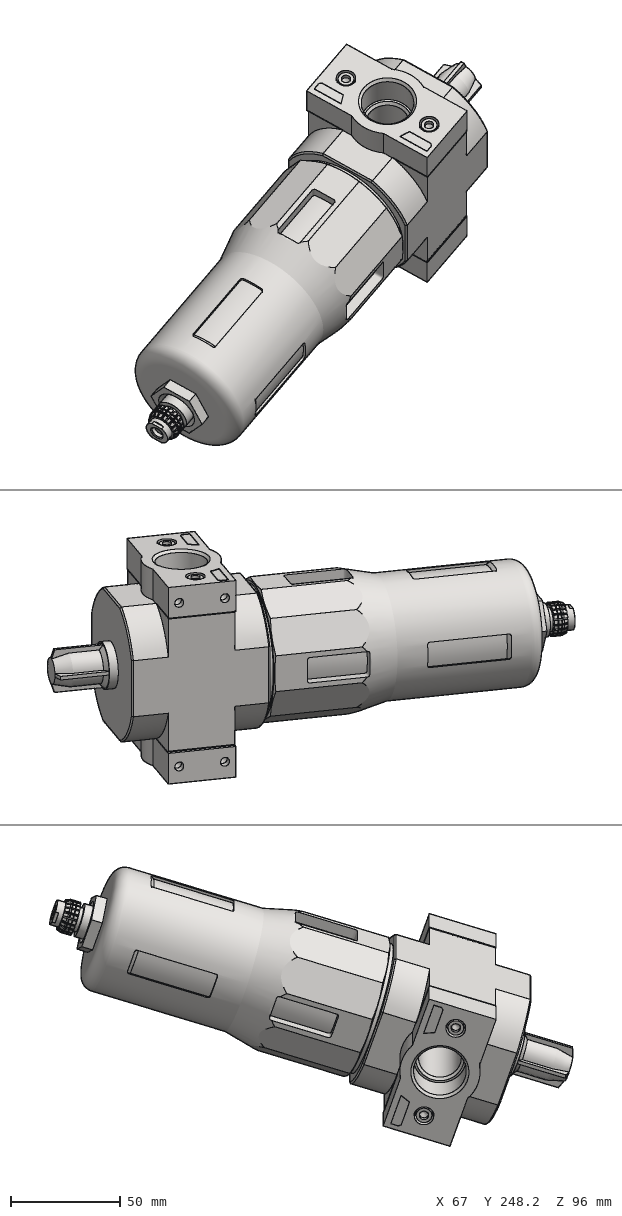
import cadquery as cq
import math


BODY_HALF = 33.0
BODY_CORNER_R = 35.7
BODY_TOP_Y = 33.3
BODY_BOTTOM_Y = -32.8
BODY_CHAMFER = 0.7
BLOCK_HALF = 16.0
BLOCK_CHAMFER = 0.7
PORT_DIA = 19.5
PORT_CHAMFER = 1.2

PLATE_WIDTH = 67.0
PLATE_HALF = 16.1
PLATE_SPAN_Z = 96.0
PLATE_OUTER_Z = PLATE_SPAN_Z / 2
PLATE_CENTRE_X = -0.37
PLATE_BOSS_DIA = 36.7
PLATE_BORE_DIA = 24.0
PLATE_BORE_CHAMFER = 1.2

SIDE_HOLE_DIA = 4.2
SIDE_HOLE_DEPTH = 3.7
SIDE_HOLE_Y = 11.0
SIDE_HOLE_Z = 40.0
DRILL_TIP_ANGLE = 120.0

LABEL_INNER_X = 16.5
LABEL_OUTER_X = 31.3
LABEL_SLANT = 2.0
LABEL_CORNER = 1.0
LABEL_TOP_Y = -8.5
LABEL_BOTTOM_Y = -13.2
LABEL_DEPTH = 0.2

SCREW_X = 23.0
SCREW_HEAD_DIA = 7.2
SCREW_HEAD_HEIGHT = 5.0
SCREW_RECESS_DIA = 9.0
SCREW_HEAD_SINK = 0.5
SCREW_SHANK_DIA = 5.0
SCREW_REACH = 10.0
SOCKET_DIA = 4.2
SOCKET_DEPTH = 2.0

KNOB_COLLAR_DIA = 22.0
KNOB_COLLAR_Y = 37.5
KNOB_CORE_DIA = 16.5
KNOB_FLARE_Y = 39.5
KNOB_SHOULDER_Y = 53.9
KNOB_TIP_DIA = 12.5
KNOB_END_Y = 62.0
RIB_COUNT = 4
RIB_RADIUS = 10.5
RIB_WIDTH = 1.7
RIB_TOP_DROP = 1.5

NECK_DIA = 62.0
GUARD_SIDES = 12
GUARD_FLATS = 65.3
GUARD_TOP_Y = -34.8
GUARD_TOP_DIA = 64.5
GUARD_BEVEL = 1.5
GUARD_TAPER_R = 35.2
GUARD_TAPER_Y = -70.7
GUARD_TAPER_MID_Y = -85.1
GUARD_TAPER_MID_R = 31.8
GUARD_DIA = 59.0
GUARD_ROUND_Y = -94.5
GUARD_END_Y = -165.0
GUARD_FILLET = 6.2
WINDOW_WIDTH = 12.5
WINDOW_CORNER = 1.2
WINDOW_FLOOR_DIA = 56.5
UPPER_WINDOW_Y = (-80.5, -50.6)
LOWER_WINDOW_Y = (-149.0, -109.0)
LOWER_WINDOW_RAMP = 1.7
WINDOW_COUNT = 4

HEX_FLATS = 24.5
HEX_END_Y = -170.3
HEX_RECESS_DIA = 19.9
HEX_RECESS_DEPTH = 2.0
STEM_DIA = 16.0
STEM_END_Y = -173.8
DRAIN_NECK_DIA = 11.5
KNURL_START_Y = -175.7
KNURL_TAPER_Y = -180.5
KNURL_END_Y = -182.5
KNURL_END_DIA = 14.5
KNURL_GROOVES = 20
KNURL_GROOVE_WIDTH = 0.7
KNURL_GROOVE_DEPTH = 1.2
KNURL_RING_Y = (-177.7, -179.5)
KNURL_RING_WIDTH = 0.2
KNURL_RING_DEPTH = 0.5
TAIL_DIA = 12.0
TAIL_FLATS = 10.7
TAIL_FLATS_Y = -184.7
DRAIN_END_Y = -186.2
DRAIN_HOLE_DIA = 6.0
DRAIN_HOLE_DEPTH = 2.5
DRAIN_HOLE_CHAMFER = 0.5


def turned(points):
    """Solid of revolution about Y from (radius, y) points."""
    return cq.Workplane("XY").polyline(points).close().revolve(360, (0, 0, 0), (0, 1, 0))


def rod(dia, y_low, y_high):
    """Round bar along Y."""
    return cq.Workplane("XZ", origin=(0, y_high, 0)).circle(dia / 2).extrude(y_high - y_low)


def upright(dia, x, z_low, z_high):
    """Round bar along Z at y = 0."""
    return cq.Workplane("XY", origin=(x, 0, z_low)).circle(dia / 2).extrude(z_high - z_low)


def drill(dia, depth, point, direction):
    """Blind drilled hole with a conical tip, to be cut from a part."""
    radius = dia / 2
    tip = radius / math.tan(math.radians(DRILL_TIP_ANGLE / 2))
    start = cq.Vector(*point)
    axis = cq.Vector(*direction)
    straight = cq.Solid.makeCylinder(radius, depth, start, axis)
    cone = cq.Solid.makeCone(radius, 0, tip, start + axis * depth, axis)
    return cq.Workplane(obj=straight.fuse(cone))


def mirrored_below(part):
    return part.mirror("XY")


def make_body(screws):
    width = 2 * BODY_HALF
    round_part = rod(2 * BODY_CORNER_R, BODY_BOTTOM_Y, BODY_TOP_Y)
    flats = cq.Workplane("XY").box(width, 4 * BODY_HALF, width)
    body = round_part.intersect(flats).faces("<Y or >Y").chamfer(BODY_CHAMFER)
    block = cq.Workplane("XY").box(width, 2 * BLOCK_HALF, width).edges("|Y").chamfer(BLOCK_CHAMFER)
    body = body.union(block).cut(upright(PORT_DIA, 0, -BODY_HALF, BODY_HALF))
    body = body.faces("<Z or >Z").edges("%CIRCLE").chamfer(PORT_CHAMFER)
    for screw in screws:
        body = body.cut(screw)
    return body


def label_recess(side):
    inner = PLATE_CENTRE_X + side * LABEL_INNER_X
    outer = PLATE_CENTRE_X + side * LABEL_OUTER_X
    outline = [
        (inner, LABEL_BOTTOM_Y),
        (outer, LABEL_BOTTOM_Y),
        (outer, LABEL_TOP_Y - LABEL_CORNER),
        (outer - side * LABEL_CORNER, LABEL_TOP_Y),
        (inner + side * LABEL_SLANT, LABEL_TOP_Y),
    ]
    floor = cq.Workplane("XY", origin=(0, 0, PLATE_OUTER_Z - LABEL_DEPTH))
    return floor.polyline(outline).close().extrude(LABEL_DEPTH)


def make_plate():
    """Plate on the +Z side."""
    thickness = PLATE_OUTER_Z - BODY_HALF
    base = cq.Workplane("XY", origin=(0, 0, BODY_HALF))
    plate = base.center(PLATE_CENTRE_X, 0).rect(PLATE_WIDTH, 2 * PLATE_HALF).extrude(thickness)
    plate = plate.union(upright(PLATE_BOSS_DIA, 0, BODY_HALF, PLATE_OUTER_Z))
    plate = plate.cut(upright(PLATE_BORE_DIA, 0, BODY_HALF, PLATE_OUTER_Z))
    rim = cq.selectors.RadiusNthSelector(0)
    plate = plate.faces(">Z").edges(rim).chamfer(PLATE_BORE_CHAMFER)
    head_seat_z = PLATE_OUTER_Z - SCREW_HEAD_SINK - SCREW_HEAD_HEIGHT
    for side in (-1, 1):
        x = side * SCREW_X
        plate = plate.cut(upright(SCREW_SHANK_DIA, x, BODY_HALF, PLATE_OUTER_Z))
        plate = plate.cut(upright(SCREW_RECESS_DIA, x, head_seat_z, PLATE_OUTER_Z))
        plate = plate.cut(label_recess(side))
        hole_start = (PLATE_CENTRE_X - PLATE_WIDTH / 2, side * SIDE_HOLE_Y, SIDE_HOLE_Z)
        plate = plate.cut(drill(SIDE_HOLE_DIA, SIDE_HOLE_DEPTH, hole_start, (1, 0, 0)))
    return plate


def make_screw(x):
    """Screw in the +Z plate."""
    top = PLATE_OUTER_Z - SCREW_HEAD_SINK
    screw = upright(SCREW_HEAD_DIA, x, top - SCREW_HEAD_HEIGHT, top)
    screw = screw.union(upright(SCREW_SHANK_DIA, x, BODY_HALF - SCREW_REACH, top - SCREW_HEAD_HEIGHT))
    return screw.cut(drill(SOCKET_DIA, SOCKET_DEPTH, (x, 0, top), (0, 0, -1)))


def make_knob():
    knob = turned([
        (0, BODY_TOP_Y),
        (KNOB_COLLAR_DIA / 2, BODY_TOP_Y),
        (KNOB_COLLAR_DIA / 2, KNOB_COLLAR_Y),
        (RIB_RADIUS, KNOB_COLLAR_Y),
        (KNOB_CORE_DIA / 2, KNOB_FLARE_Y),
        (KNOB_CORE_DIA / 2, KNOB_SHOULDER_Y),
        (KNOB_TIP_DIA / 2, KNOB_END_Y),
        (0, KNOB_END_Y),
    ])
    rib_outline = [
        (0, KNOB_COLLAR_Y),
        (RIB_RADIUS, KNOB_COLLAR_Y),
        (RIB_RADIUS, KNOB_END_Y - RIB_TOP_DROP),
        (KNOB_TIP_DIA / 2, KNOB_END_Y),
        (0, KNOB_END_Y),
    ]
    rib = cq.Workplane("XY").polyline(rib_outline).close().extrude(RIB_WIDTH / 2, both=True)
    for i in range(RIB_COUNT):
        knob = knob.union(rib.rotate((0, 0, 0), (0, 1, 0), i * 360 / RIB_COUNT))
    return knob


def window_cutter(y_low, y_high):
    """Cutter for one window on +Z that leaves a round floor."""
    cutter = (
        cq.Workplane("XY")
        .center(0, (y_low + y_high) / 2)
        .rect(WINDOW_WIDTH, y_high - y_low)
        .extrude(GUARD_FLATS)
        .edges("|Z")
        .fillet(WINDOW_CORNER)
    )
    return cutter.cut(rod(WINDOW_FLOOR_DIA, y_low, y_high))


def lower_window_ramp():
    """Cone that slopes the floor of a lower window up to the surface at its bottom end."""
    y_low = min(LOWER_WINDOW_Y)
    return turned([
        (0, y_low),
        (GUARD_DIA / 2, y_low),
        (WINDOW_FLOOR_DIA / 2, y_low + LOWER_WINDOW_RAMP),
        (0, y_low + LOWER_WINDOW_RAMP),
    ])


def make_guard():
    corner_r = GUARD_FLATS / 2 / math.cos(math.pi / GUARD_SIDES)
    radius = GUARD_DIA / 2
    envelope = (
        cq.Workplane("XY")
        .moveTo(0, GUARD_TOP_Y)
        .lineTo(GUARD_TOP_DIA / 2, GUARD_TOP_Y)
        .lineTo(GUARD_TAPER_R, GUARD_TOP_Y - GUARD_BEVEL)
        .lineTo(GUARD_TAPER_R, GUARD_TAPER_Y)
        .threePointArc((GUARD_TAPER_MID_R, GUARD_TAPER_MID_Y), (radius, GUARD_ROUND_Y))
        .lineTo(radius, GUARD_END_Y)
        .lineTo(0, GUARD_END_Y)
        .close()
        .revolve(360, (0, 0, 0), (0, 1, 0))
        .faces("<Y")
        .edges()
        .fillet(GUARD_FILLET)
    )
    prism = (
        cq.Workplane("XZ", origin=(0, GUARD_TOP_Y, 0))
        .polygon(GUARD_SIDES, 2 * corner_r)
        .extrude(GUARD_TOP_Y - GUARD_END_Y)
        .rotate((0, 0, 0), (0, 1, 0), 180 / GUARD_SIDES)
    )
    guard = envelope.intersect(prism).union(rod(NECK_DIA, GUARD_TOP_Y, BODY_BOTTOM_Y))
    upper_cutter = window_cutter(*UPPER_WINDOW_Y)
    lower_cutter = window_cutter(*LOWER_WINDOW_Y).cut(lower_window_ramp())
    for cutter in (upper_cutter, lower_cutter):
        for i in range(WINDOW_COUNT):
            guard = guard.cut(cutter.rotate((0, 0, 0), (0, 1, 0), i * 360 / WINDOW_COUNT))
    return guard


def make_spindle():
    """Round stem, knurled knob and tail of the drain valve."""
    spindle = turned([
        (0, GUARD_END_Y),
        (STEM_DIA / 2, GUARD_END_Y),
        (STEM_DIA / 2, STEM_END_Y),
        (DRAIN_NECK_DIA / 2, STEM_END_Y),
        (DRAIN_NECK_DIA / 2, KNURL_START_Y),
        (STEM_DIA / 2, KNURL_START_Y),
        (STEM_DIA / 2, KNURL_TAPER_Y),
        (KNURL_END_DIA / 2, KNURL_END_Y),
        (TAIL_DIA / 2, KNURL_END_Y),
        (TAIL_DIA / 2, DRAIN_END_Y),
        (0, DRAIN_END_Y),
    ])
    knurl_length = KNURL_START_Y - KNURL_END_Y
    knurl_middle = (KNURL_START_Y + KNURL_END_Y) / 2
    groove = (
        cq.Workplane("XY")
        .box(KNURL_GROOVE_WIDTH, knurl_length, 2 * KNURL_GROOVE_DEPTH)
        .translate((0, knurl_middle, STEM_DIA / 2))
    )
    for i in range(KNURL_GROOVES):
        spindle = spindle.cut(groove.rotate((0, 0, 0), (0, 1, 0), i * 360 / KNURL_GROOVES))
    for y in KNURL_RING_Y:
        y_low, y_high = y - KNURL_RING_WIDTH / 2, y + KNURL_RING_WIDTH / 2
        ring = rod(STEM_DIA, y_low, y_high).cut(rod(STEM_DIA - 2 * KNURL_RING_DEPTH, y_low, y_high))
        spindle = spindle.cut(ring)
    tail = rod(TAIL_DIA, DRAIN_END_Y, TAIL_FLATS_Y)
    kept = cq.Workplane("XY").box(TAIL_DIA, -2 * DRAIN_END_Y, TAIL_FLATS)
    return spindle.cut(tail.cut(kept))


def make_drain():
    hexagon = (
        cq.Workplane("XZ", origin=(0, GUARD_END_Y, 0))
        .polygon(6, HEX_FLATS / math.cos(math.pi / 6))
        .extrude(GUARD_END_Y - HEX_END_Y)
    )
    countersink = turned([
        (0, HEX_END_Y),
        (HEX_RECESS_DIA / 2, HEX_END_Y),
        (STEM_DIA / 2, HEX_END_Y + HEX_RECESS_DEPTH),
        (0, HEX_END_Y + HEX_RECESS_DEPTH),
    ])
    drain = hexagon.cut(countersink).union(make_spindle())
    drain = drain.cut(rod(DRAIN_HOLE_DIA, DRAIN_END_Y, DRAIN_END_Y + DRAIN_HOLE_DEPTH))
    hole_rim = cq.selectors.RadiusNthSelector(0)
    return drain.faces("<Y").edges("%CIRCLE").edges(hole_rim).chamfer(DRAIN_HOLE_CHAMFER)


upper_screws = [make_screw(side * SCREW_X) for side in (-1, 1)]
screws = upper_screws + [mirrored_below(screw) for screw in upper_screws]
upper_plate = make_plate()
plates = [upper_plate, mirrored_below(upper_plate)]
body = make_body(screws)
knob = make_knob()
guard = make_guard()
drain = make_drain()

bodies = [body, knob, guard, drain] + plates + screws
result = cq.Compound.makeCompound([part.val() for part in bodies])